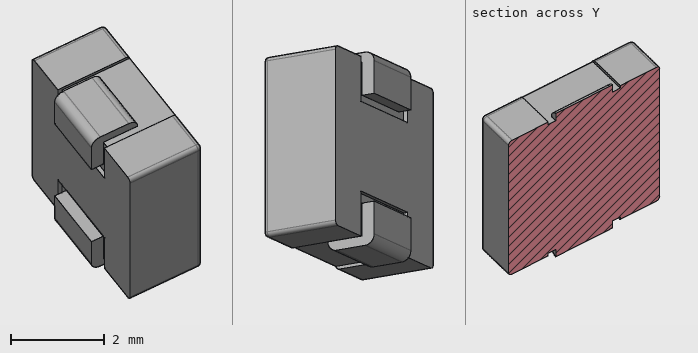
import cadquery as cq

body_side = 4.0
body_depth = 1.805
body_round = 0.1

channel_width = 1.9
channel_depth = 0.075
pocket_height = 1.0
pocket_depth = 0.1

overall_height = 4.3
lead_width = 1.5
lead_standoff = 0.2
lead_back_length = 1.16
lead_front_length = 0.95

half_side = body_side / 2
half_height = overall_height / 2
channel_floor = half_side - channel_depth
front_y = -body_depth / 2
pocket_floor_y = front_y + pocket_depth
lead_round = half_height - channel_floor


def make_body():
    """Block with rounded Y edges and a rounded back rim; the front rim stays sharp."""
    block = cq.Workplane("XY").box(body_side, body_depth, body_side)
    return block.edges("|Y or >Y").fillet(body_round)


def make_recess():
    """Cutter for the +Z channel and its front pocket."""
    channel = cq.Workplane("XY").box(
        channel_width, body_depth, channel_depth, centered=(True, True, False)
    ).translate((0, 0, channel_floor))
    pocket = cq.Workplane("XY").box(
        channel_width, pocket_depth, pocket_height, centered=(True, False, False)
    ).translate((0, front_y, half_side - pocket_height))
    return channel.union(pocket)


def make_lead():
    """Lead lying on the +Z channel floor and folded down onto the pocket floor."""
    lead_front_y = front_y - lead_standoff
    lead_back_y = lead_front_y + lead_back_length
    lead_bottom_z = half_height - lead_front_length
    profile = (
        cq.Workplane("YZ")
        .moveTo(lead_front_y, lead_bottom_z)
        .lineTo(lead_front_y, channel_floor)
        .radiusArc((lead_front_y + lead_round, half_height), lead_round)
        .lineTo(lead_back_y - lead_round, half_height)
        .radiusArc((lead_back_y, channel_floor), lead_round)
        .lineTo(pocket_floor_y, channel_floor)
        .lineTo(pocket_floor_y, lead_bottom_z)
        .close()
    )
    return profile.extrude(lead_width / 2, both=True)


recess = make_recess()
lead = make_lead()
result = make_body()
for cutter in (recess, recess.mirror("XY")):
    result = result.cut(cutter)
for terminal in (lead, lead.mirror("XY")):
    result = result.union(terminal)